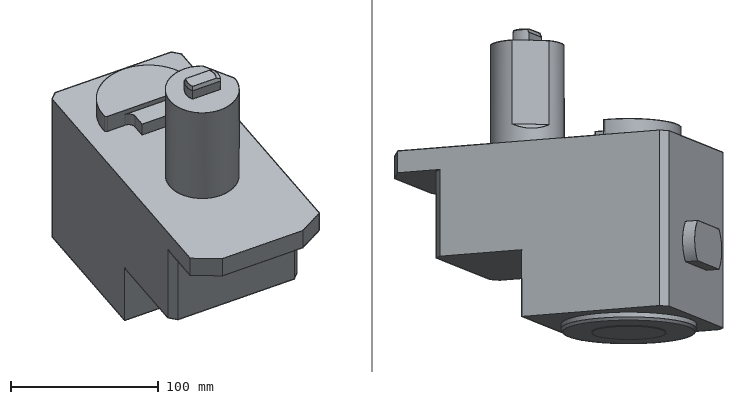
import cadquery as cq
import math


housing_width = 100.0
housing_left = -125.0
housing_chamfer = 5.0
plate_right = 84.6
plate_thickness = 15.0
plate_corner_x = 11.0
plate_corner_y = plate_corner_x * math.tan(math.radians(60))
middle_right = 47.5
middle_depth = 74.8
lower_right = -18.2
lower_depth = 120.7

spindle_diameter = 50.0
spindle_height = 75.0
flat_distance = 21.7
flat_angle = 120
flat_bottom = 17.3
cut_clearance = 2.2
tab_diameter = 24.5
tab_width = 11.8
tab_height = 10.0
tab_chamfer_height = 2.8
tab_chamfer_inset = 1.0

disc_axis_x = -75.2
half_disc_diameter = 70.9
half_disc_height = 13.1
half_disc_flat_x = -71.7
half_disc_corner_radius = 1.5
tongue_end_x = -57.0
tongue_width = 30.2
tongue_height = 9.5
tongue_root_radius = 5.0

boss_diameter = 45.0
boss_height = 27.8
boss_length = 9.0
boss_z = -71.7

neck_diameter = 78.0
neck_height = 1.3
flange_diameter = 92.0
flange_height = 5.2
flange_chamfer_height = 2.0
flange_chamfer_inset = 1.3
pad_diameter = 50.0
pad_height = 0.7


def box_between(x_min, x_max, width, z_min, z_max):
    """Box centred on y = 0."""
    box = cq.Workplane("XY").box(x_max - x_min, width, z_max - z_min, centered=(False, True, False))
    return box.translate((x_min, 0, z_min))


def cylinder(diameter, height, x, z):
    """Upright cylinder whose lower face is at height z."""
    return cq.Workplane("XY", origin=(x, 0, z)).circle(diameter / 2).extrude(height)


def make_housing():
    lower = box_between(housing_left, lower_right, housing_width, -lower_depth, 0)
    middle = box_between(housing_left, middle_right, housing_width, -middle_depth, 0)
    middle = middle.edges("|Z and >X").chamfer(housing_chamfer)

    half_width = housing_width / 2
    corner_y = half_width - plate_corner_y
    plate = (
        cq.Workplane("XY")
        .moveTo(housing_left, -half_width)
        .lineTo(plate_right - plate_corner_x, -half_width)
        .lineTo(plate_right, -corner_y)
        .lineTo(plate_right, corner_y)
        .lineTo(plate_right - plate_corner_x, half_width)
        .lineTo(housing_left, half_width)
        .close()
        .extrude(-plate_thickness)
    )
    housing = lower.union(middle).union(plate)
    return housing.edges("|Z and <X").chamfer(housing_chamfer)


def make_spindle():
    spindle = cylinder(spindle_diameter, spindle_height, 0, 0)
    cut_depth = spindle_diameter / 2 - flat_distance + cut_clearance
    cut = (
        cq.Workplane("XZ")
        .moveTo(flat_distance, flat_bottom)
        .lineTo(flat_distance + cut_depth, flat_bottom - cut_depth)
        .lineTo(flat_distance + cut_depth, spindle_height)
        .lineTo(flat_distance, spindle_height)
        .close()
        .extrude(spindle_diameter / 2, both=True)
        .rotate((0, 0, 0), (0, 0, 1), flat_angle)
    )
    return spindle.cut(cut)


def make_drive_tab():
    tab = cylinder(tab_diameter, tab_height, 0, spindle_height)
    sides = box_between(-tab_width / 2, tab_width / 2, tab_diameter, spindle_height, spindle_height + tab_height)
    tab = tab.intersect(sides)
    return tab.faces(">Z").chamfer(tab_chamfer_inset, tab_chamfer_height)


def make_half_disc():
    disc = cylinder(half_disc_diameter, half_disc_height, disc_axis_x, 0)
    disc_left = disc_axis_x - half_disc_diameter / 2
    disc = disc.intersect(box_between(disc_left, half_disc_flat_x, half_disc_diameter, 0, half_disc_height))
    return disc.edges("|Z and >X").fillet(half_disc_corner_radius)


def make_tongue():
    half_width = tongue_width / 2
    root_half_width = half_width + tongue_root_radius
    fillet_end_x = half_disc_flat_x + tongue_root_radius
    return (
        cq.Workplane("XY")
        .moveTo(half_disc_flat_x, -root_half_width)
        .radiusArc((fillet_end_x, -half_width), tongue_root_radius)
        .lineTo(tongue_end_x, -half_width)
        .lineTo(tongue_end_x, half_width)
        .lineTo(fillet_end_x, half_width)
        .radiusArc((half_disc_flat_x, root_half_width), tongue_root_radius)
        .close()
        .extrude(tongue_height)
    )


def make_boss():
    boss = cq.Workplane("YZ", origin=(housing_left, 0, boss_z)).circle(boss_diameter / 2).extrude(-boss_length)
    half_height = boss_height / 2
    sides = box_between(
        housing_left - boss_length, housing_left, boss_diameter, boss_z - half_height, boss_z + half_height
    )
    return boss.intersect(sides)


def make_flange():
    flange_top = -lower_depth - neck_height
    flange_bottom = flange_top - flange_height
    neck = cylinder(neck_diameter, neck_height, disc_axis_x, flange_top)
    flange = cylinder(flange_diameter, flange_height, disc_axis_x, flange_bottom)
    flange = flange.faces("<Z").chamfer(flange_chamfer_height, flange_chamfer_inset)
    pad = cylinder(pad_diameter, pad_height, disc_axis_x, flange_bottom - pad_height)
    return neck.union(flange).union(pad)


result = (
    make_housing()
    .union(make_spindle())
    .union(make_drive_tab())
    .union(make_half_disc())
    .union(make_tongue())
    .union(make_boss())
    .union(make_flange())
)